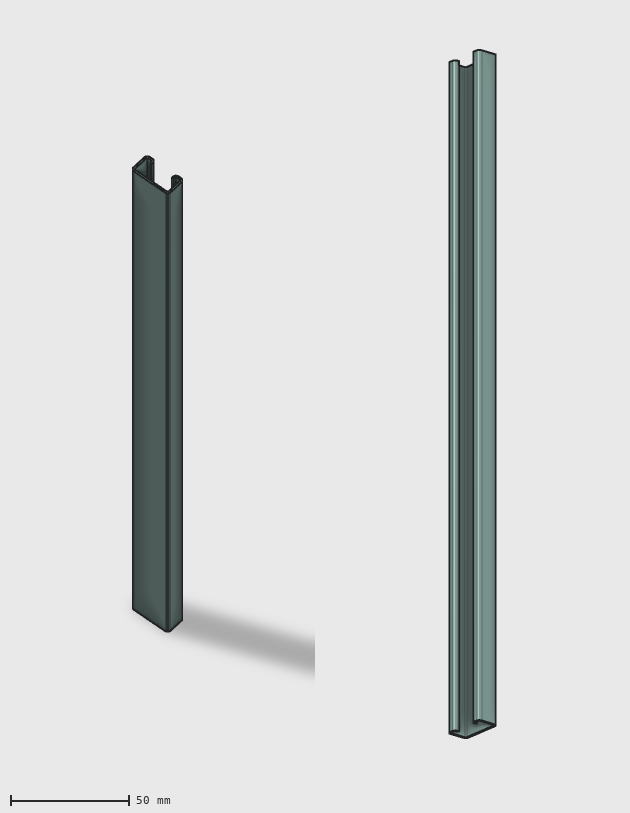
import cadquery as cq

WIDTH = 20.64
DEPTH = 10.31
LENGTH = 304.8

THICKNESS = 1.016
OUTER_BEND_RADIUS = 1.54
INNER_BEND_RADIUS = OUTER_BEND_RADIUS - THICKNESS

MOUTH_WIDTH = 11.11
LIP_DEPTH = 2.38

WALL_OUTER_X = WIDTH / 2
WALL_INNER_X = WALL_OUTER_X - THICKNESS
LIP_INNER_X = MOUTH_WIDTH / 2
LIP_OUTER_X = LIP_INNER_X + THICKNESS
WEB_OUTER_Y = -DEPTH / 2
WEB_INNER_Y = WEB_OUTER_Y + THICKNESS
FLANGE_OUTER_Y = DEPTH / 2
FLANGE_INNER_Y = FLANGE_OUTER_Y - THICKNESS
LIP_END_Y = FLANGE_OUTER_Y - LIP_DEPTH

OUTER_CORNERS = [
    (WALL_OUTER_X, WEB_OUTER_Y),
    (WALL_OUTER_X, FLANGE_OUTER_Y),
    (LIP_INNER_X, FLANGE_OUTER_Y),
]
INNER_CORNERS = [
    (WALL_INNER_X, WEB_INNER_Y),
    (WALL_INNER_X, FLANGE_INNER_Y),
    (LIP_OUTER_X, FLANGE_INNER_Y),
]


def mirrored(points):
    """The same points reflected across the YZ plane."""
    return [(-x, y) for x, y in points]


def sharp_channel():
    """Channel with square corners, extruded along Z."""
    lip_end = [(LIP_INNER_X, LIP_END_Y), (LIP_OUTER_X, LIP_END_Y)]
    half_outline = OUTER_CORNERS + lip_end + INNER_CORNERS[::-1]
    outline = half_outline + mirrored(half_outline)[::-1]
    return cq.Workplane("XY").polyline(outline).close().extrude(LENGTH)


def round_bends(body, corners, radius):
    """Round the long edges at the given corners on both halves."""
    for x, y in corners + mirrored(corners):
        edge = cq.selectors.NearestToPointSelector((x, y, LENGTH / 2))
        body = body.edges(edge).fillet(radius)
    return body


channel = sharp_channel()
channel = round_bends(channel, OUTER_CORNERS, OUTER_BEND_RADIUS)
channel = round_bends(channel, INNER_CORNERS, INNER_BEND_RADIUS)

result = channel